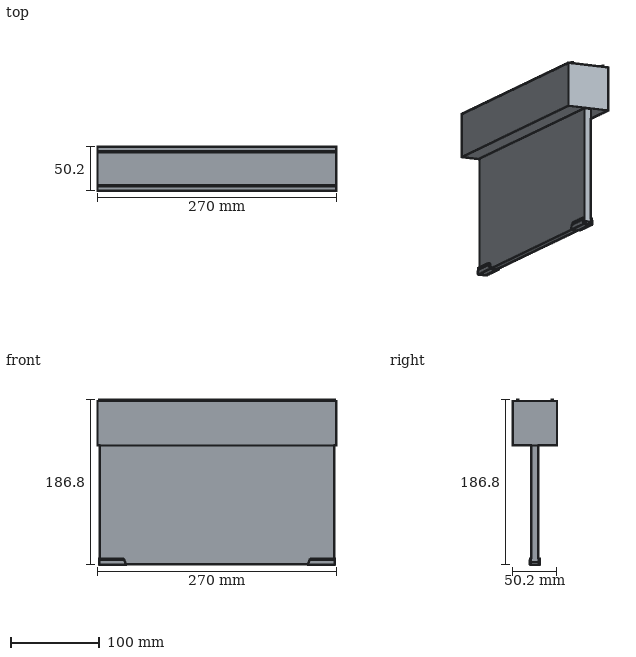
import cadquery as cq

LENGTH = 270.0
HOUSING_DEPTH = 50.2
HOUSING_HEIGHT = 50.2
RAIL_HEIGHT = 1.5
RAIL_WIDTH = 1.5
RAIL_END_INSET = 1.5
RAIL_SPACING = 38.5

TOTAL_HEIGHT = 186.8
PANEL_LENGTH = 265.1
PANEL_THICKNESS = 8.0
PANEL_CENTER_Y = -0.14

CLIP_LENGTH = 30.8
CLIP_HEIGHT = 7.5
CLIP_FLOOR = 0.8
CLIP_END_WALL = 0.8
CLIP_END_WALL_HEIGHT = 3.5
CLIP_END_CHAMFER = 0.5

CLIP_WAIST_HALF = 6.0
CLIP_LIP_HALF = 5.7
CLIP_GROOVE_HALF = 5.5
CLIP_BOTTOM_RADIUS = 1.75
CLIP_WAIST_TOP = 3.8
CLIP_SHELF_HEIGHT = 5.7

CLIP_SHOULDER_HEIGHT = 6.0
CLIP_SHOULDER_INSET = 2.2
CLIP_TOP_INSET = 4.0

HOUSING_TOP = TOTAL_HEIGHT - RAIL_HEIGHT
HOUSING_BOTTOM = HOUSING_TOP - HOUSING_HEIGHT
PANEL_BOTTOM = CLIP_FLOOR
PANEL_HEIGHT = HOUSING_BOTTOM - PANEL_BOTTOM
CLIP_OUTER_X = PANEL_LENGTH / 2 + CLIP_END_WALL
CLIP_INNER_X = CLIP_OUTER_X - CLIP_LENGTH

ON_BASE = (True, True, False)


def make_housing():
    """Rectangular box with the two rails standing on its top face."""
    box = (
        cq.Workplane("XY", origin=(0, 0, HOUSING_BOTTOM))
        .box(LENGTH, HOUSING_DEPTH, HOUSING_HEIGHT, centered=ON_BASE)
    )
    rails = (
        cq.Workplane("XY", origin=(0, 0, HOUSING_TOP))
        .pushPoints([(0, -RAIL_SPACING / 2), (0, RAIL_SPACING / 2)])
        .rect(LENGTH - 2 * RAIL_END_INSET, RAIL_WIDTH)
        .extrude(RAIL_HEIGHT)
    )
    return box.union(rails)


def make_panel():
    """Flat panel from the underside of the housing down to the clip floors."""
    return (
        cq.Workplane("XY", origin=(0, PANEL_CENTER_Y, PANEL_BOTTOM))
        .box(PANEL_LENGTH, PANEL_THICKNESS, PANEL_HEIGHT, centered=ON_BASE)
    )


def make_clip_bar():
    """Solid bar with rounded lower edges and a groove under the lip of each cheek."""
    right_side = [
        (CLIP_WAIST_HALF, 0),
        (CLIP_WAIST_HALF, CLIP_WAIST_TOP),
        (CLIP_LIP_HALF, CLIP_SHELF_HEIGHT),
        (CLIP_GROOVE_HALF, CLIP_SHELF_HEIGHT),
        (CLIP_LIP_HALF, CLIP_HEIGHT),
    ]
    left_side = [(-y, z) for y, z in reversed(right_side)]
    return (
        cq.Workplane("YZ", origin=(CLIP_INNER_X, PANEL_CENTER_Y, 0))
        .polyline(right_side + left_side)
        .close()
        .extrude(CLIP_LENGTH)
        .faces("<Z").edges("|X").fillet(CLIP_BOTTOM_RADIUS)
        .faces(">X").edges("not(>Z)").chamfer(CLIP_END_CHAMFER)
    )


def make_clip_outline():
    """Side outline of the clip, as a block wide enough to trim the whole bar."""
    return (
        cq.Workplane("XZ")
        .polyline([
            (CLIP_OUTER_X, 0),
            (CLIP_INNER_X, 0),
            (CLIP_INNER_X + CLIP_SHOULDER_INSET, CLIP_SHOULDER_HEIGHT),
            (CLIP_INNER_X + CLIP_TOP_INSET, CLIP_HEIGHT),
            (CLIP_OUTER_X, CLIP_HEIGHT),
        ])
        .close()
        .extrude(HOUSING_DEPTH / 2, both=True)
    )


def make_clip(panel, at_right_end):
    """Clip hollowed by the panel and open at its outer end above the low end wall."""
    end_opening = (
        cq.Workplane("XY", origin=(CLIP_OUTER_X, PANEL_CENTER_Y, CLIP_END_WALL_HEIGHT))
        .box(2 * CLIP_END_WALL, PANEL_THICKNESS, CLIP_HEIGHT, centered=ON_BASE)
    )
    clip = make_clip_bar().intersect(make_clip_outline()).cut(end_opening).cut(panel)
    return clip if at_right_end else clip.mirror("YZ")


housing = make_housing()
panel = make_panel()
clips = [make_clip(panel, at_right_end) for at_right_end in (False, True)]

result = cq.Compound.makeCompound([housing.val(), panel.val(), *[clip.val() for clip in clips]])